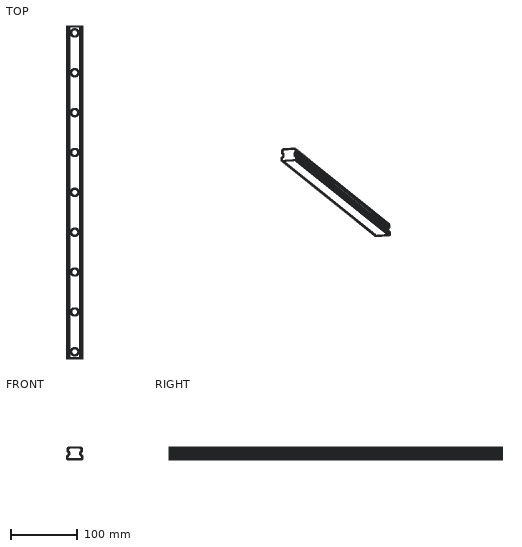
import cadquery as cq
import math

rail_width = 23.0
rail_length = 500.0
rail_height = 18.0

foot_chamfer = 1.2
foot_side_height = 3.4
foot_slope_width = 22.6
foot_slope_z = 4.45

neck_width = 17.2
neck_bottom_z = 7.5
neck_top_z = 10.0

top_width = 16.4
shoulder_width = 19.6
shoulder_z = 17.1
head_width = 22.1
head_side_top_z = 14.8
head_side_bottom_z = 13.0
lower_lip_width = 19.7
lower_lip_z = 11.8
ball_track_radius = 4.4

cap_count = 9
cap_pitch = 60.0
cap_diameter = 11.0
cap_recess_depth = 0.1


def track_middle(start, end):
    """Midpoint of the concave ball-track arc between two right-hand points, going downward."""
    chord_x = end[0] - start[0]
    chord_z = end[1] - start[1]
    chord = math.hypot(chord_x, chord_z)
    sag = ball_track_radius - math.sqrt(ball_track_radius**2 - (chord / 2) ** 2)
    middle_x = (start[0] + end[0]) / 2 + sag * chord_z / chord
    middle_z = (start[1] + end[1]) / 2 - sag * chord_x / chord
    return (middle_x, middle_z)


def make_rail():
    """Extrude the right half section along Y, then mirror it about the YZ plane."""
    shoulder = (shoulder_width / 2, shoulder_z)
    head_side_top = (head_width / 2, head_side_top_z)
    head_side_bottom = (head_width / 2, head_side_bottom_z)
    lower_lip = (lower_lip_width / 2, lower_lip_z)
    half_section = (
        cq.Workplane("XZ")
        .moveTo(0, rail_height)
        .lineTo(top_width / 2, rail_height)
        .lineTo(*shoulder)
        .threePointArc(track_middle(shoulder, head_side_top), head_side_top)
        .lineTo(*head_side_bottom)
        .threePointArc(track_middle(head_side_bottom, lower_lip), lower_lip)
        .lineTo(neck_width / 2, neck_top_z)
        .lineTo(neck_width / 2, neck_bottom_z)
        .lineTo(foot_slope_width / 2, foot_slope_z)
        .lineTo(rail_width / 2, foot_side_height)
        .lineTo(rail_width / 2, foot_chamfer)
        .lineTo(rail_width / 2 - foot_chamfer, 0)
        .lineTo(0, 0)
        .close()
    )
    half_rail = half_section.extrude(rail_length / 2, both=True)
    return half_rail.union(half_rail.mirror("YZ")).clean()


def make_cap_recesses():
    """Shallow round recesses in one row, evenly spaced along the rail."""
    return (
        cq.Workplane("XY", origin=(0, 0, rail_height))
        .rarray(1, cap_pitch, 1, cap_count)
        .circle(cap_diameter / 2)
        .extrude(-cap_recess_depth)
    )


result = make_rail().cut(make_cap_recesses())